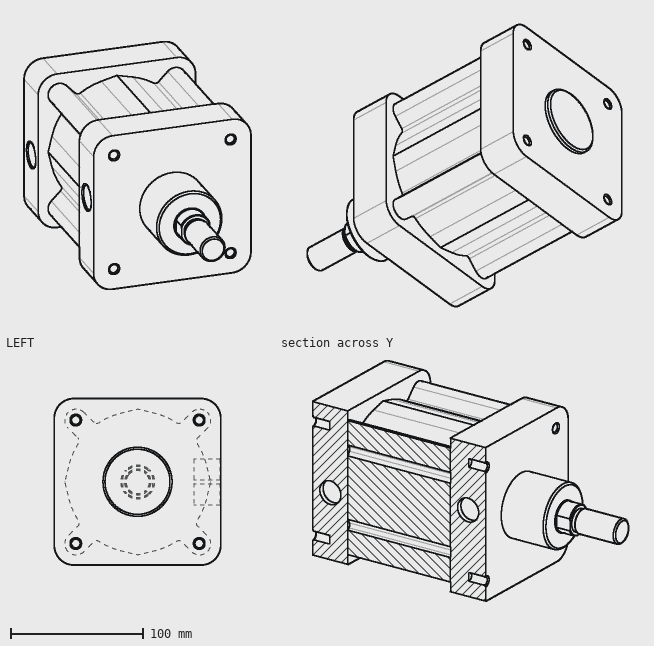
import cadquery as cq
import math


TOTAL_LENGTH = 256.0
REAR_BOSS_LENGTH = 4.0
CAP_THICKNESS = 32.5
BARREL_LENGTH = 94.0
FRONT_BOSS_LENGTH = 40.0
LIP_LENGTH = 0.8

REAR_CAP_X = REAR_BOSS_LENGTH
BARREL_X = REAR_CAP_X + CAP_THICKNESS
FRONT_CAP_X = BARREL_X + BARREL_LENGTH
FRONT_BOSS_X = FRONT_CAP_X + CAP_THICKNESS
LIP_X = FRONT_BOSS_X + FRONT_BOSS_LENGTH
LIP_END_X = LIP_X + LIP_LENGTH

CAP_SIZE = 126.0
CAP_CORNER_RADIUS = 15.0
BOSS_RADIUS = 26.0
BOSS_CHAMFER = 1.5
LIP_RADIUS = 12.8

POST_OFFSET = 46.5
SCREW_HOLE_DIAMETER = 6.7
SCREW_HOLE_CHAMFER = 1.0
SCREW_HOLE_DEPTH = 15.4

PORT_DIAMETER = 19.0
PORT_CHAMFER = 1.0
PORT_DEPTH = 20.5
PORT_OFFSET = 8.0

DRUM_RADIUS = 53.5
RIDGE_RADIUS = 55.0
POST_RADIUS = 8.5
WEB_FILLET = 3.0

ROD_RADIUS = 12.3
ROD_CHAMFER = 0.5
ACROSS_FLATS = 22.5
SHOULDER_X = 216.0
NECK_RADIUS = 9.2
NECK_LENGTH = 2.8
THREAD_RADIUS = 10.0
THREAD_CHAMFER = 1.3


def yz_plane(x):
    """Section plane at x, with local x along Y and local y along Z."""
    return cq.Workplane("YZ", origin=(x, 0, 0))


def cap_plate(x):
    plate = yz_plane(x).rect(CAP_SIZE, CAP_SIZE).extrude(CAP_THICKNESS)
    return plate.edges("|X").fillet(CAP_CORNER_RADIUS)


def chamfered_hole(diameter, chamfer, depth):
    """Cutter for a flat-bottomed hole that runs from the origin along +X."""
    radius = diameter / 2
    profile = [
        (0, 0),
        (0, radius + chamfer),
        (chamfer, radius),
        (depth, radius),
        (depth, 0),
    ]
    return cq.Workplane("XY").polyline(profile).close().revolve(360, (0, 0, 0), (1, 0, 0))


def cut_screw_holes(cap, face_x, inward):
    """Cut the corner holes into the face at face_x; inward is +1 or -1 along X."""
    cutter = chamfered_hole(SCREW_HOLE_DIAMETER, SCREW_HOLE_CHAMFER, SCREW_HOLE_DEPTH)
    if inward < 0:
        cutter = cutter.mirror("YZ")
    for y in (-POST_OFFSET, POST_OFFSET):
        for z in (-POST_OFFSET, POST_OFFSET):
            cap = cap.cut(cutter.translate((face_x, y, z)))
    return cap


def cut_port(cap, cap_x, z):
    cutter = chamfered_hole(PORT_DIAMETER, PORT_CHAMFER, PORT_DEPTH)
    cutter = cutter.rotate((0, 0, 0), (0, 0, 1), 90)
    return cap.cut(cutter.translate((cap_x + CAP_THICKNESS / 2, -CAP_SIZE / 2, z)))


def make_rear_cap():
    boss = yz_plane(0).circle(BOSS_RADIUS).extrude(REAR_BOSS_LENGTH)
    boss = boss.faces("<X").chamfer(BOSS_CHAMFER)
    cap = cap_plate(REAR_CAP_X).union(boss)
    cap = cut_screw_holes(cap, REAR_CAP_X, 1)
    return cut_port(cap, REAR_CAP_X, -PORT_OFFSET)


def make_front_cap():
    boss = yz_plane(FRONT_BOSS_X).circle(BOSS_RADIUS).extrude(FRONT_BOSS_LENGTH)
    boss = boss.faces(">X").chamfer(BOSS_CHAMFER)
    lip = yz_plane(LIP_X).circle(LIP_RADIUS).extrude(LIP_LENGTH)
    cap = cap_plate(FRONT_CAP_X).union(boss).union(lip)
    cap = cut_screw_holes(cap, FRONT_BOSS_X, -1)
    cap = cut_port(cap, FRONT_CAP_X, PORT_OFFSET)
    rod_bore = yz_plane(FRONT_CAP_X).circle(ROD_RADIUS).extrude(LIP_END_X - FRONT_CAP_X)
    return cap.cut(rod_bore)


def polar(radius, angle, center=(0, 0)):
    return (center[0] + radius * math.cos(angle), center[1] + radius * math.sin(angle))


def make_barrel():
    """Extrude the barrel section, drawn one quarter at a time from ridge to ridge."""
    diagonal = math.pi / 4
    quarter = math.pi / 2
    flat_angle = math.acos(DRUM_RADIUS / RIDGE_RADIUS)
    fillet_distance = DRUM_RADIUS + WEB_FILLET
    fillet_spread = math.asin((POST_RADIUS + WEB_FILLET) / fillet_distance)
    post_distance = POST_OFFSET * math.sqrt(2)

    outline = cq.Workplane("YZ", origin=(BARREL_X, 0, 0)).moveTo(RIDGE_RADIUS, 0)
    for step in range(4):
        start = step * quarter
        middle = start + diagonal
        end = start + quarter
        near_fillet = middle - fillet_spread
        far_fillet = middle + fillet_spread
        near_center = polar(fillet_distance, near_fillet)
        far_center = polar(fillet_distance, far_fillet)
        post_center = polar(post_distance, middle)
        near_mid = (near_fillet + math.pi + middle + quarter) / 2
        far_mid = (far_fillet - math.pi + middle - quarter) / 2
        outline = (
            outline.lineTo(*polar(DRUM_RADIUS, start + flat_angle))
            .threePointArc(
                polar(DRUM_RADIUS, (start + flat_angle + near_fillet) / 2),
                polar(DRUM_RADIUS, near_fillet),
            )
            .threePointArc(
                polar(WEB_FILLET, near_mid, near_center),
                polar(WEB_FILLET, middle + quarter, near_center),
            )
            .lineTo(*polar(POST_RADIUS, middle - quarter, post_center))
            .threePointArc(
                polar(POST_RADIUS, middle, post_center),
                polar(POST_RADIUS, middle + quarter, post_center),
            )
            .lineTo(*polar(WEB_FILLET, middle - quarter, far_center))
            .threePointArc(
                polar(WEB_FILLET, far_mid, far_center),
                polar(DRUM_RADIUS, far_fillet),
            )
            .threePointArc(
                polar(DRUM_RADIUS, (far_fillet + end - flat_angle) / 2),
                polar(DRUM_RADIUS, end - flat_angle),
            )
            .lineTo(*polar(RIDGE_RADIUS, end))
        )
    return outline.close().extrude(BARREL_LENGTH)


def make_rod():
    thread_step = THREAD_RADIUS - NECK_RADIUS
    neck_end = SHOULDER_X + NECK_LENGTH
    profile = [
        (FRONT_CAP_X, 0),
        (FRONT_CAP_X, ROD_RADIUS),
        (SHOULDER_X - ROD_CHAMFER, ROD_RADIUS),
        (SHOULDER_X, ROD_RADIUS - ROD_CHAMFER),
        (SHOULDER_X, NECK_RADIUS),
        (neck_end, NECK_RADIUS),
        (neck_end + thread_step, THREAD_RADIUS),
        (TOTAL_LENGTH - THREAD_CHAMFER, THREAD_RADIUS),
        (TOTAL_LENGTH, THREAD_RADIUS - THREAD_CHAMFER),
        (TOTAL_LENGTH, 0),
    ]
    rod = cq.Workplane("XY").polyline(profile).close().revolve(360, (0, 0, 0), (1, 0, 0))
    flats_length = SHOULDER_X - LIP_END_X
    flats_zone = yz_plane(LIP_END_X).rect(CAP_SIZE, CAP_SIZE).extrude(flats_length)
    between_flats = yz_plane(LIP_END_X).rect(ACROSS_FLATS, CAP_SIZE).extrude(flats_length)
    return rod.cut(flats_zone.cut(between_flats))


rear_cap = make_rear_cap()
barrel = make_barrel()
front_cap = make_front_cap()
rod = make_rod()

result = cq.Compound.makeCompound([rear_cap.val(), barrel.val(), front_cap.val(), rod.val()])